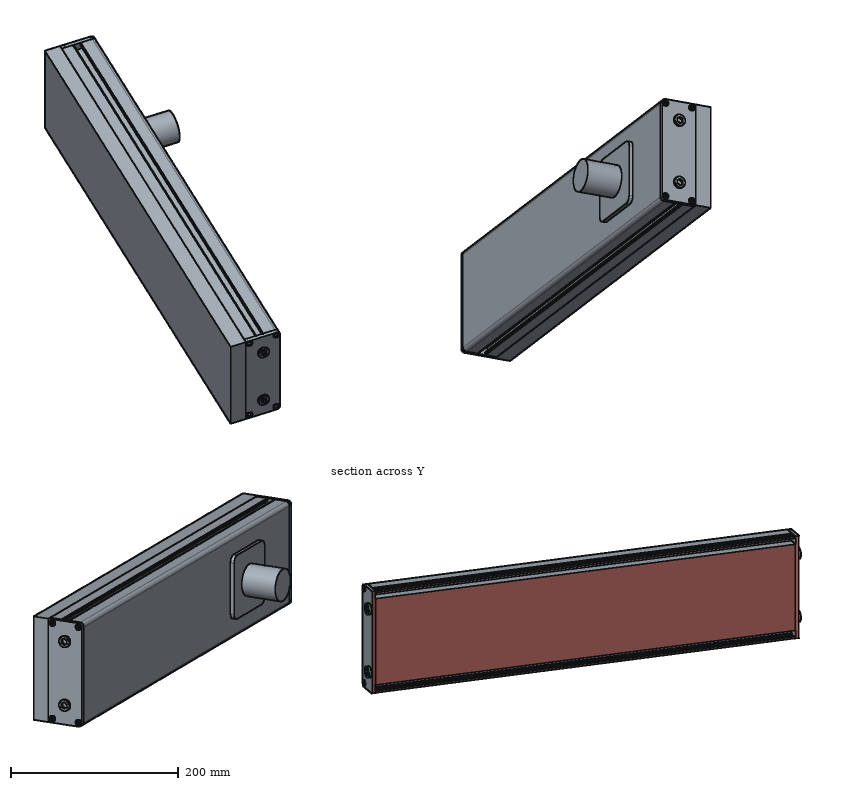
import cadquery as cq
import math

length = 550.0
height = 130.0
panel_depth = 20.0
housing_depth = 45.0
back_y = panel_depth + housing_depth
back_edge_radius = 5.0
mid_z = height / 2

cap_thickness = 5.0
plug_diameter = 14.0
plug_height = 3.0
plug_spacing = 80.0
plug_y = panel_depth + housing_depth / 2
socket_width = 7.0
socket_depth = 3.0
screw_inset = back_edge_radius
screw_head_diameter = 7.5
screw_head_recess = 1.0
screw_hole_diameter = 4.5

groove_y = 40.0
groove_mouth_width = 8.0
groove_step_width = 1.0
groove_step_depth = 1.0
groove_mouth_depth = 3.0
groove_chamber_width = 14.5
groove_depth = 10.0

pipe_x = 120.0
pipe_diameter = 40.0
pipe_length = 45.0
flange_size = 80.0
flange_thickness = 5.0
flange_corner_radius = 8.0

socket_corner_diameter = socket_width / math.cos(math.pi / 6)


def block(x_start, x_end, y_start, y_end, z_start, z_end):
    size = (x_end - x_start, y_end - y_start, z_end - z_start)
    return cq.Workplane("XY").box(*size, centered=False).translate((x_start, y_start, z_start))


def rounded_section(x_start, x_end):
    """Length of the housing section, with its two long back edges rounded."""
    body = block(x_start, x_end, panel_depth, back_y, 0, height)
    return body.edges("|X and >Y").fillet(back_edge_radius)


def groove(x_start, x_end):
    """T-shaped groove with a stepped mouth, open at the top of the housing."""
    mouth_half = groove_mouth_width / 2
    chamber_half = groove_chamber_width / 2
    half_outline = [
        (mouth_half + groove_step_width, height),
        (mouth_half + groove_step_width, height - groove_step_depth),
        (mouth_half, height - groove_step_depth),
        (mouth_half, height - groove_mouth_depth),
        (chamber_half, height - groove_mouth_depth),
        (chamber_half, height - groove_depth),
    ]
    mirrored_half = [(-y, z) for y, z in reversed(half_outline)]
    return (
        cq.Workplane("YZ", origin=(x_start, groove_y, 0))
        .polyline(half_outline + mirrored_half)
        .close()
        .extrude(x_end - x_start)
    )


def make_panel():
    return block(0, length, 0, panel_depth, 0, height)


def make_housing():
    x_start = cap_thickness
    x_end = length - cap_thickness
    top_groove = groove(x_start, x_end)
    bottom_groove = top_groove.mirror("XY", (0, 0, mid_z))
    return rounded_section(x_start, x_end).cut(top_groove).cut(bottom_groove)


def make_left_cap():
    cap = rounded_section(0, cap_thickness)
    outer_face = cq.Workplane("YZ")
    plug_points = [(plug_y, mid_z - plug_spacing / 2), (plug_y, mid_z + plug_spacing / 2)]
    plugs = outer_face.pushPoints(plug_points).circle(plug_diameter / 2).extrude(-plug_height)
    sockets = (
        cq.Workplane(cq.Plane(origin=(-plug_height, 0, 0), xDir=(0, 0, 1), normal=(1, 0, 0)))
        .pushPoints([(z, -y) for y, z in plug_points])
        .polygon(6, socket_corner_diameter)
        .extrude(socket_depth)
    )
    screw_points = [
        (y, z)
        for y in (panel_depth + screw_inset, back_y - screw_inset)
        for z in (screw_inset, height - screw_inset)
    ]
    screw_sites = outer_face.pushPoints(screw_points)
    head_recesses = screw_sites.circle(screw_head_diameter / 2).extrude(screw_head_recess)
    screw_holes = screw_sites.circle(screw_hole_diameter / 2).extrude(cap_thickness)
    return cap.union(plugs).cut(sockets).cut(head_recesses).cut(screw_holes)


def make_pipe():
    """Square flange on the back of the housing, carrying a round pipe stub."""
    flange = (
        block(
            pipe_x - flange_size / 2, pipe_x + flange_size / 2,
            back_y, back_y + flange_thickness,
            mid_z - flange_size / 2, mid_z + flange_size / 2,
        )
        .edges("|Y")
        .fillet(flange_corner_radius)
    )
    stub = (
        cq.Workplane("XZ", origin=(pipe_x, back_y + flange_thickness, mid_z))
        .circle(pipe_diameter / 2)
        .extrude(-pipe_length)
    )
    return flange.union(stub)


panel = make_panel()
housing = make_housing()
left_cap = make_left_cap()
right_cap = left_cap.mirror("YZ", (length / 2, 0, 0))
pipe = make_pipe()

result = cq.Compound.makeCompound(
    [panel.val(), housing.val(), left_cap.val(), right_cap.val(), pipe.val()]
)